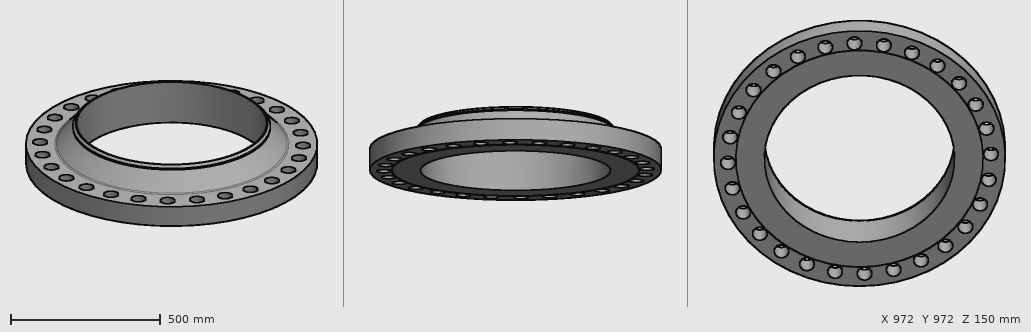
import cadquery as cq

flange_radius = 486.0
flange_top = 74.0
raised_face_height = 2.0
raised_face_radius = 412.0

total_height = 150.0
bore_radius = 317.0
neck_radius = 329.0
neck_base_height = 135.0
bevel_size = 9.2
bevel_base_height = total_height - bevel_size
end_land_radius = neck_radius - bevel_size

hub_radius = 387.0
hub_root_fillet = 8.0

bolt_count = 28
bolt_circle_radius = 438.0
bolt_hole_diameter = 49.0


def make_body():
    """Revolve the half section about Z and round the root of the hub."""
    section = (
        cq.Workplane("XZ")
        .moveTo(bore_radius, 0)
        .lineTo(raised_face_radius, 0)
        .lineTo(raised_face_radius, raised_face_height)
        .lineTo(flange_radius, raised_face_height)
        .lineTo(flange_radius, flange_top)
        .lineTo(hub_radius, flange_top)
        .lineTo(neck_radius, neck_base_height)
        .lineTo(neck_radius, bevel_base_height)
        .lineTo(end_land_radius, total_height)
        .lineTo(bore_radius, total_height)
        .close()
    )
    body = section.revolve(360, (0, 0, 0), (0, 1, 0))
    flange_top_face = body.faces("+Z").faces("<Z")
    return flange_top_face.edges(cq.selectors.RadiusNthSelector(0)).fillet(hub_root_fillet)


def make_bolt_holes():
    """Cylinders through the full flange thickness, one of them on the +X axis."""
    return (
        cq.Workplane("XY")
        .polarArray(bolt_circle_radius, 0, 360, bolt_count)
        .circle(bolt_hole_diameter / 2)
        .extrude(flange_top)
    )


result = make_body().cut(make_bolt_holes())